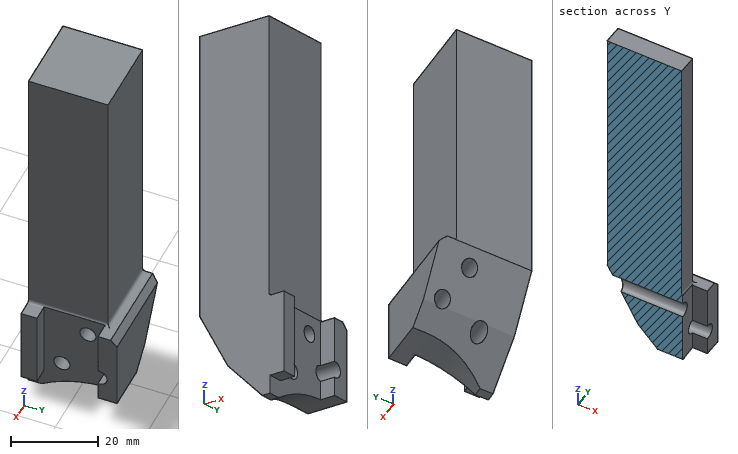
import cadquery as cq
import math

total_height = 94.5
shank_width = 19.95
shank_depth = 19.9
head_width = 24.25
head_depth = 24.0
head_top = 24.5

slope_break_x = 8.1
slope_break_height = 10.0
tip_x = 18.0

seat_x = 20.25
tongue_bottom = 4.5
front_tongue_width = 4.0
slot_width = 15.25

tip_flat_width = 3.4
clearance_height = 5.05
clearance_radius = 31.0

top_chamfer = 1.6
root_fillet = 0.75

hole_diameter = 4.0
hole_centres = [(15.0, 20.0), (19.5, 11.6), (8.5, 8.5)]


def make_head():
    """Head block with its sloped -X side and stepped +X side, extruded along Y."""
    outline = [
        (0, head_top),
        (slope_break_x, slope_break_height),
        (tip_x, 0),
        (seat_x, 0),
        (seat_x, tongue_bottom),
        (head_width, tongue_bottom),
        (head_width, head_top),
    ]
    block = cq.Workplane("XZ").polyline(outline).close().extrude(-head_depth)
    return block.edges("|X and >Y and >Z").chamfer(top_chamfer)


def make_shank():
    """Upright shank standing on the top of the head."""
    return (
        cq.Workplane("XY", origin=(0, 0, head_top))
        .rect(shank_width, shank_depth, centered=False)
        .extrude(total_height - head_top)
    )


def fillet_shank_root(body):
    """Round the inner corner between the shank and the top of the head."""
    margin = 0.1
    root_edges = cq.selectors.BoxSelector(
        (margin, margin, head_top - margin),
        (shank_width + margin, shank_depth + margin, head_top + margin),
    )
    return body.edges(root_edges).fillet(root_fillet)


def make_slot():
    """Slot between the two tongues, open at the top and the bottom."""
    return (
        cq.Workplane("XY", origin=(seat_x, front_tongue_width, 0))
        .rect(head_width - seat_x, slot_width, centered=False)
        .extrude(total_height)
    )


def make_clearance():
    """Relief under the head: an arc rising from the tip flat to a level underside."""
    arc_angle = math.acos(1 - clearance_height / clearance_radius)
    arc_end_y = tip_flat_width + clearance_radius * math.sin(arc_angle)
    mid_y = arc_end_y - clearance_radius * math.sin(arc_angle / 2)
    mid_z = clearance_height - clearance_radius * (1 - math.cos(arc_angle / 2))
    return (
        cq.Workplane("YZ")
        .moveTo(tip_flat_width, 0)
        .threePointArc((mid_y, mid_z), (arc_end_y, clearance_height))
        .lineTo(head_depth, clearance_height)
        .lineTo(head_depth, 0)
        .close()
        .extrude(head_width)
    )


def make_holes():
    """Three parallel holes right through the head."""
    return (
        cq.Workplane("YZ")
        .pushPoints(hole_centres)
        .circle(hole_diameter / 2)
        .extrude(head_width)
    )


body = fillet_shank_root(make_head().union(make_shank()))
result = body.cut(make_slot()).cut(make_clearance()).cut(make_holes())